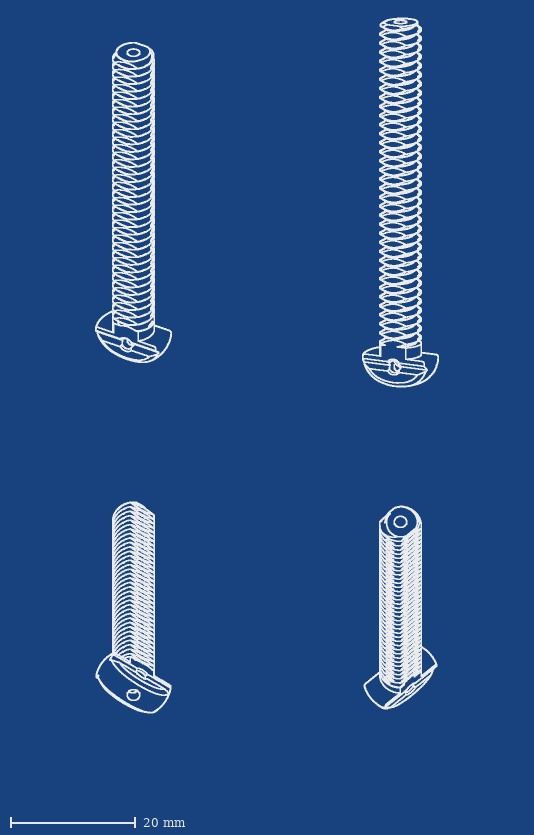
import cadquery as cq
import math

total_length = 60.0
flat_width = 5.0
bore_diameter = 2.0

head_diameter = 12.2
head_radius = head_diameter / 2
head_height = 5.0
rim_fillet = 0.4
side_arc_radius = 4.3
crown_trim = 0.1
underside_chamfer = 0.6

groove_height = 3.4
groove_depth = 0.8
cross_hole_chamfer = 0.3

thread_radius = 3.35
core_diameter = 4.5
core_radius = core_diameter / 2
collar_top = 6.85
pitch = 1.5
root_land = 0.05
root_sink = 0.03
crest_drop = 0.6
end_chamfer = 0.65
trim_clearance = 0.05


def slab(bottom, top):
    """Block between the two flats, wide enough in X for the whole part."""
    return (
        cq.Workplane("XY")
        .workplane(offset=bottom)
        .rect(4 * head_radius, flat_width)
        .extrude(top - bottom)
    )


def make_groove(side):
    """Right-angled V groove along X in one flat; side is -1 or +1."""
    face_y = side * flat_width / 2
    overshoot = side * groove_depth
    return (
        cq.Workplane("YZ")
        .moveTo(face_y - side * groove_depth, groove_height)
        .lineTo(face_y + overshoot, groove_height + 2 * groove_depth)
        .lineTo(face_y + overshoot, groove_height - 2 * groove_depth)
        .close()
        .extrude(2 * head_radius, both=True)
    )


def make_head():
    """Turned disc with a domed underside, cut to the flats, grooved and chamfered below the grooves."""
    apex = -crown_trim
    side_top = head_height - rim_fillet
    side_rise = side_top - apex
    side_center_x = head_radius - side_arc_radius
    rise_beyond_arc = side_rise - side_arc_radius
    bottom_radius = (side_center_x**2 + side_rise**2 - side_arc_radius**2) / (2 * rise_beyond_arc)
    joint_angle = math.asin(side_center_x / (bottom_radius - side_arc_radius))
    joint_x = bottom_radius * math.sin(joint_angle)
    joint_z = apex + bottom_radius * (1 - math.cos(joint_angle))
    disc = (
        cq.Workplane("XZ")
        .moveTo(0, apex)
        .lineTo(0, head_height)
        .lineTo(head_radius - rim_fillet, head_height)
        .tangentArcPoint((head_radius, side_top), relative=False)
        .tangentArcPoint((joint_x, joint_z), relative=False)
        .tangentArcPoint((0, apex), relative=False)
        .close()
        .revolve(360, (0, 0, 0), (0, 1, 0))
    )
    head = disc.intersect(slab(0, head_height))
    for side in (-1, 1):
        head = head.cut(make_groove(side))
    groove_bottom = groove_height - groove_depth
    below_grooves = cq.selectors.BoxSelector(
        (-head_radius, -flat_width, 0), (head_radius, flat_width, groove_bottom - trim_clearance)
    )
    return head.faces("<Y or >Y").faces(below_grooves).edges(below_grooves).chamfer(underside_chamfer)


def make_cross_hole():
    """Hole along Y with a chamfer at each flat."""
    radius = bore_diameter / 2
    half_width = flat_width / 2
    return (
        cq.Workplane("XY")
        .polyline([
            (0, -half_width),
            (radius + cross_hole_chamfer, -half_width),
            (radius, -half_width + cross_hole_chamfer),
            (radius, half_width - cross_hole_chamfer),
            (radius + cross_hole_chamfer, half_width),
            (0, half_width),
        ])
        .close()
        .revolve(360, (0, 0, 0), (0, 1, 0))
        .translate((0, 0, groove_height))
    )


def make_thread_ridge():
    """Right-hand sharp-crested ridge, trimmed to the flats and the shank's ends."""
    root_radius = core_radius - root_sink
    flank_run = (pitch - root_land) / 2 / (thread_radius - core_radius)
    half_base = flank_run * (thread_radius - root_radius)
    turns = math.ceil((total_length - collar_top) / pitch) + 2
    start = total_length - crest_drop - (turns - 1) * pitch

    def helix(radius, height):
        return cq.Wire.makeHelix(pitch, turns * pitch, radius).translate(cq.Vector(0, 0, start + height))

    lower_root = helix(root_radius, -half_base)
    crest = helix(thread_radius, 0)
    upper_root = helix(root_radius, half_base)
    sides = [
        cq.Face.makeRuledSurface(lower_root, crest),
        cq.Face.makeRuledSurface(crest, upper_root),
        cq.Face.makeRuledSurface(upper_root, lower_root),
    ]
    section = cq.Wire.makePolygon(
        [
            cq.Vector(root_radius, 0, start - half_base),
            cq.Vector(thread_radius, 0, start),
            cq.Vector(root_radius, 0, start + half_base),
        ],
        close=True,
    )
    first_end = cq.Face.makeFromWires(section)
    last_end = first_end.translate(cq.Vector(0, 0, turns * pitch))
    ridge = cq.Workplane(cq.Solid.makeSolid(cq.Shell.makeShell(sides + [first_end, last_end])))
    tip = (
        cq.Workplane("XY")
        .workplane(offset=collar_top)
        .circle(thread_radius + trim_clearance)
        .extrude(total_length - collar_top)
        .faces(">Z")
        .edges()
        .chamfer(end_chamfer + trim_clearance)
    )
    return ridge.intersect(tip).intersect(slab(collar_top, total_length))


def cylinder(radius, height):
    """Upright cylinder standing on Z = 0."""
    return cq.Workplane("XY").circle(radius).extrude(height)


core = cylinder(core_radius, total_length).intersect(slab(head_height, total_length))
collar = cylinder(thread_radius, collar_top).intersect(slab(head_height, collar_top))
bore = cylinder(bore_diameter / 2, total_length)

body = core.union(make_thread_ridge()).union(collar).union(make_head())
result = body.cut(bore).cut(make_cross_hole())